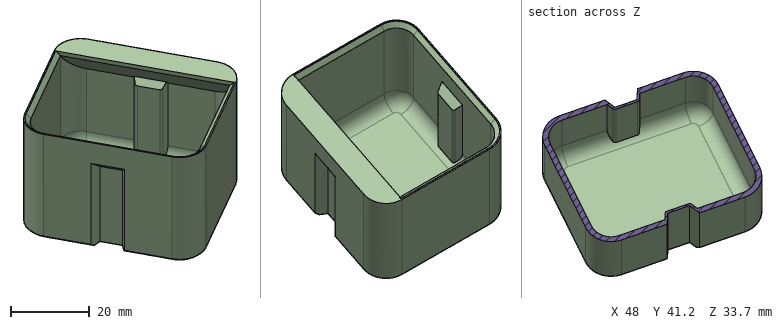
import cadquery as cq
import math

LENGTH = 48.0
DEPTH = 41.2
HEIGHT = 33.7
CORNER_RADIUS = 7.0
BOTTOM_CHAMFER = 1.0

WALL = 1.65
FLOOR = 1.2
FLOOR_FILLET = 4.0
RIM_WIDTH = 0.4
RIM_CHAMFER = WALL - RIM_WIDTH
RIM_CHAMFER_ANGLE = 45

SHELF_DEPTH = 7.0
SHELF_EDGE = RIM_CHAMFER
SHELF_DROP = 7.05

GROOVE_WIDTH = 8.95
GROOVE_FLOOR_WIDTH = 5.95
GROOVE_DEPTH = 3.0
GROOVE_TOP = 27.0
GROOVE_TOP_DROP = 2.9
GROOVE_SKIN = 0.75

OVERCUT = 0.5


def rounded_block(inset, bottom, top):
    """Upright block with rounded corners, inset from the outer walls."""
    return (
        cq.Workplane("XY", origin=(0, 0, bottom))
        .rect(LENGTH - 2 * inset, DEPTH - 2 * inset)
        .extrude(top - bottom)
        .edges("|Z")
        .fillet(CORNER_RADIUS - inset)
    )


def shelf():
    """Prism across the opening, flat on top with a sloping underside."""
    edge_y = DEPTH / 2 - SHELF_DEPTH
    wall_y = DEPTH / 2 - WALL
    slope = SHELF_DROP / (wall_y - edge_y)
    underside_z = HEIGHT - SHELF_EDGE
    back_y = DEPTH / 2
    profile = [
        (edge_y, HEIGHT + OVERCUT),
        (edge_y, underside_z),
        (back_y, underside_z - slope * SHELF_DEPTH),
        (back_y, HEIGHT + OVERCUT),
    ]
    return cq.Workplane("YZ").polyline(profile).close().extrude(LENGTH / 2, both=True)


def front_groove(skin=0.0):
    """Groove volume in the front wall, grown by a skin thickness on its inner faces."""
    front_y = -DEPTH / 2
    floor_y = front_y + GROOVE_DEPTH
    outer_y = front_y - OVERCUT
    side_slope = (GROOVE_WIDTH - GROOVE_FLOOR_WIDTH) / 2 / GROOVE_DEPTH
    outer_half = GROOVE_WIDTH / 2 + side_slope * OVERCUT
    floor_half = GROOVE_FLOOR_WIDTH / 2
    plan = cq.Workplane("XY").polyline(
        [(-outer_half, outer_y), (-floor_half, floor_y), (floor_half, floor_y), (outer_half, outer_y)]
    ).close()
    if skin:
        plan = plan.offset2D(skin, "arc")
    column = plan.extrude(HEIGHT)

    top_slope = GROOVE_TOP_DROP / GROOVE_DEPTH
    top_z = GROOVE_TOP + skin * math.hypot(1, top_slope)
    start_y = outer_y - skin
    end_y = floor_y + skin
    side_profile = [
        (start_y, 0),
        (end_y, 0),
        (end_y, top_z - top_slope * (end_y - front_y)),
        (start_y, top_z - top_slope * (start_y - front_y)),
    ]
    envelope = cq.Workplane("YZ").polyline(side_profile).close().extrude(LENGTH / 2, both=True)
    return column.intersect(envelope)


def front_and_back(feature):
    """Pair of a front feature and its mirror image at the back."""
    return feature.union(feature.mirror("XZ"))


def cavity():
    """Inner space: rounded floor and flared rim, less the shelf and the groove skins."""
    space = rounded_block(WALL, FLOOR, HEIGHT).faces("<Z").edges().fillet(FLOOR_FILLET)
    flare = (
        cq.Workplane("XY", origin=(0, 0, HEIGHT))
        .placeSketch(
            cq.Sketch()
            .rect(LENGTH - 2 * RIM_WIDTH, DEPTH - 2 * RIM_WIDTH)
            .vertices()
            .fillet(CORNER_RADIUS - RIM_WIDTH)
        )
        .extrude(-RIM_CHAMFER, taper=RIM_CHAMFER_ANGLE)
    )
    return space.union(flare).cut(shelf()).cut(front_and_back(front_groove(GROOVE_SKIN)))


body = rounded_block(0, 0, HEIGHT).faces("<Z").edges().chamfer(BOTTOM_CHAMFER)
result = body.cut(cavity()).cut(front_and_back(front_groove()))